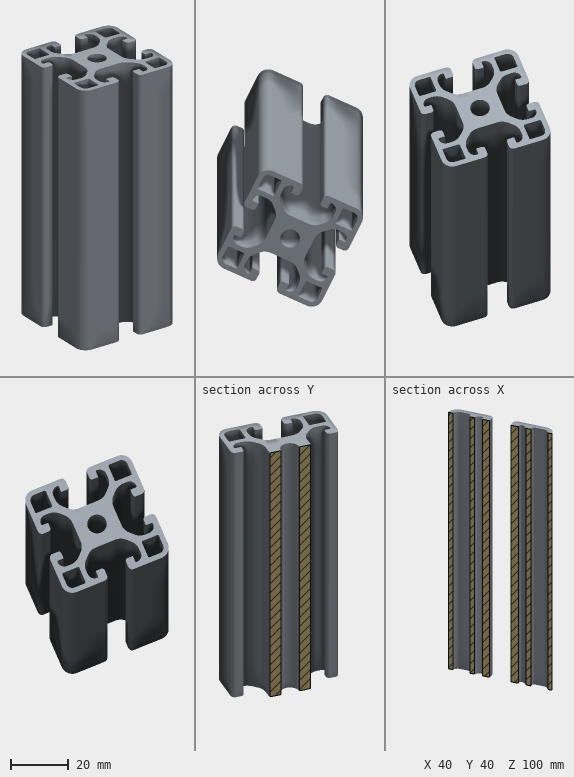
import cadquery as cq
import math

length = 100.0
width = 40.0
half_width = width / 2
corner_radius = 4.0
bore_diameter = 6.8

slot_opening = 8.0
lip_depth = 4.5
lip_width = 3.0
lip_outer_radius = 1.5
lip_inner_radius = 1.0
cavity_width = 20.0
flange_thickness = 2.0
core_half_width = 7.7
cavity_bend_radius = 5.0
web_thickness = 2.8
cavity_roof_radius = 2.5
cavity_lip_radius = 0.4

chamber_size = 6.4
chamber_wall = 1.8
chamber_outer_radius = corner_radius - chamber_wall
chamber_inner_radius = 0.5


def make_bar():
    """Plain square bar with rounded long edges."""
    bar = cq.Workplane("XY").rect(width, width).extrude(length)
    return bar.edges("|Z").fillet(corner_radius)


def round_edges(body, radius, corners):
    """Round the upright edges that pass through the given XY corners."""
    for x, y in corners:
        edge = cq.selectors.NearestToPointSelector((x, y, length / 2))
        body = body.edges("|Z").edges(edge).fillet(radius)
    return body


def mirrored(x, y):
    """A corner and its twin on the other side of the slot."""
    return [(-x, y), (x, y)]


def make_slot():
    """Space of the T-slot on the +Y side."""
    opening_x = slot_opening / 2
    lip_x = opening_x + lip_width
    wall_x = cavity_width / 2
    lip_y = half_width - lip_depth
    roof_y = half_width - flange_thickness
    web_offset = web_thickness / math.sqrt(2)
    half_outline = [
        (opening_x, half_width),
        (opening_x, lip_y),
        (lip_x, lip_y),
        (lip_x, roof_y),
        (wall_x, roof_y),
        (wall_x, wall_x + web_offset),
        (core_half_width - web_offset, core_half_width),
    ]
    other_half = [(-x, y) for x, y in reversed(half_outline)]
    slot = cq.Workplane("XY").polyline(half_outline + other_half).close().extrude(length)
    slot = round_edges(slot, cavity_bend_radius, mirrored(wall_x, wall_x + web_offset))
    slot = round_edges(slot, cavity_bend_radius, mirrored(core_half_width - web_offset, core_half_width))
    slot = round_edges(slot, cavity_roof_radius, mirrored(wall_x, roof_y))
    slot = round_edges(slot, cavity_lip_radius, mirrored(lip_x, roof_y))
    return round_edges(slot, lip_inner_radius, mirrored(opening_x, lip_y))


def make_chamber():
    """Space of the chamber in the +X +Y corner."""
    outer = half_width - chamber_wall
    inner = outer - chamber_size
    middle = (outer + inner) / 2
    chamber = cq.Workplane("XY").center(middle, middle).rect(chamber_size, chamber_size).extrude(length)
    chamber = round_edges(chamber, chamber_outer_radius, [(outer, outer)])
    return round_edges(chamber, chamber_inner_radius, [(inner, outer), (inner, inner), (outer, inner)])


def round_slot_mouths(body):
    """Round the outer edges of the lips on all four sides."""
    mouth_x = slot_opening / 2
    for side in (-half_width, half_width):
        body = round_edges(body, lip_outer_radius, mirrored(mouth_x, side))
        body = round_edges(body, lip_outer_radius, [(side, -mouth_x), (side, mouth_x)])
    return body


result = make_bar()
slot = make_slot()
chamber = make_chamber()
for quarter in range(4):
    angle = 90 * quarter
    result = result.cut(slot.rotate((0, 0, 0), (0, 0, 1), angle))
    result = result.cut(chamber.rotate((0, 0, 0), (0, 0, 1), angle))
result = round_slot_mouths(result)
result = result.faces(">Z").workplane(origin=(0, 0, length)).hole(bore_diameter)